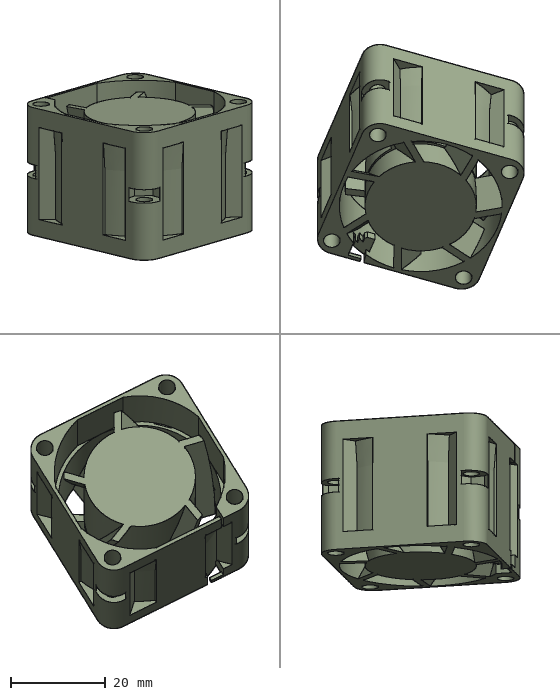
import cadquery as cq
import math

SIDE = 36.0
HALF = SIDE / 2
HEIGHT = 28.0
CORNER_RADIUS = 4.0
SCREW_OFFSET = 14.75
SCREW_DIAMETER = 3.5
OVERCUT = 0.35

BORE_RADIUS = 34.4 / 2
INLET_RADIUS = 18.07
INLET_FLOOR = 15.65
DUCT_OUTER_RADIUS = 18.45
FLARE_HEIGHT = 10.0
FLARE_START = HEIGHT - FLARE_HEIGHT
DUCT_TOP_RADIUS = 19.15

POCKET_NEAR = 5.95
POCKET_FAR = 12.4
POCKET_FLOOR = 3.78
POCKET_TOP = 23.95

NOTCH_BOTTOM = 12.53
NOTCH_TOP = 15.48
NOTCH_EDGE = 13.4
NOTCH_INNER = 13.95
NOTCH_WALL_ANGLE = 7.3
NOTCH_FLARE = 0.97
DEEP_NOTCH_FLARE = 1.87

EXIT_SIDE = -10.22
EXIT_REACH = -12.95
SLIT_SIDE = -9.75
CHANNEL_SIDE = -5.4
PORT_SIDE = -6.45
PORT_INNER_SIDE = -6.75
PORT_TAPER_END = -15.85
PORT_SILL = 1.05
PORT_SLIT_SIDE = -7.35
RING_GAP_HEIGHT = 1.85
RING_END_SIDE = -9.6

LUG_TOP_SIDE = -5.85
LUG_BOTTOM_SIDE = -7.95
LUG_TIP = -12.75
LUG_TIP_CHAMFER = 0.45
LIP_RADIUS = 16.25
LIP_SIDE = -9.0

HUB_RADIUS = 11.77
STATOR_HEIGHT = 6.3
VANE_COUNT = 7
VANE_ANGLE = 7.0
VANE_TOP_NEAR = -0.2
VANE_TOP_FAR = 1.4
VANE_SHIFT = 4.18

ROTOR_TOP = HEIGHT - 1.98
ROTOR_BOTTOM = 7.02
ROTOR_TIP_RADIUS = 16.02
BLADE_COUNT = 5
BLADE_ANGLE = 43.4
BLADE_TOP_NEAR = 3.75
BLADE_TOP_FAR = 5.33
BLADE_SHIFT = -8.25


def cylinder(radius, bottom, top):
    return cq.Workplane("XY").workplane(offset=bottom).circle(radius).extrude(top - bottom)


def block(x_range, y_range, z_range):
    size = [end - start for start, end in (x_range, y_range, z_range)]
    corner = (x_range[0], y_range[0], z_range[0])
    return cq.Workplane("XY").box(*size, centered=False).translate(corner)


def prism(points, bottom, top):
    return cq.Workplane("XY").workplane(offset=bottom).polyline(points).close().extrude(top - bottom)


def turned(body, angle):
    return body.rotate((0, 0, 0), (0, 0, 1), angle)


def slanted_vane(near, far, shift, bottom, top, angle, reach):
    """Bar whose parallelogram section moves sideways by `shift` from top to bottom."""
    section = [(near, top), (far, top), (far + shift, bottom), (near + shift, bottom)]
    bar = cq.Workplane("YZ").polyline(section).close().extrude(reach)
    return turned(bar, angle)


def hub_with_vanes(count, first_angle, near, far, shift, bottom, top, tip_radius):
    """Disc carrying slanted vanes that end on a cylinder of `tip_radius`."""
    hub = cylinder(HUB_RADIUS, bottom, top)
    envelope = cylinder(tip_radius, bottom, top)
    for index in range(count):
        angle = first_angle + index * 360 / count
        vane = slanted_vane(near, far, shift, bottom, top, angle, SIDE)
        hub = hub.union(vane.intersect(envelope))
    return hub


def duct_outside():
    lower = cylinder(DUCT_OUTER_RADIUS, 0, FLARE_START)
    flare = cq.Solid.makeCone(DUCT_OUTER_RADIUS, DUCT_TOP_RADIUS, FLARE_HEIGHT, cq.Vector(0, 0, FLARE_START))
    return lower.union(cq.Workplane(flare))


def bore():
    lower = cylinder(BORE_RADIUS, -OVERCUT, INLET_FLOOR)
    inlet = cylinder(INLET_RADIUS, INLET_FLOOR, HEIGHT + OVERCUT)
    flats = (-BORE_RADIUS, BORE_RADIUS)
    return lower.union(inlet.intersect(block(flats, flats, (INLET_FLOOR, HEIGHT + OVERCUT))))


def side_pockets():
    """Eight wedge pockets, two per side, with a 45 degree wall towards the corner."""
    outer = HALF + OVERCUT
    depth = POCKET_FAR - POCKET_NEAR
    outline = [
        (POCKET_NEAR, HALF - depth),
        (POCKET_FAR, HALF),
        (POCKET_FAR, outer),
        (POCKET_NEAR, outer),
    ]
    wedge = prism(outline, POCKET_FLOOR, POCKET_TOP)
    pair = wedge.union(wedge.mirror("YZ"))
    pockets = pair
    for angle in (90, 180, 270):
        pockets = pockets.union(turned(pair, angle))
    return pockets


def corner_notch(flare):
    """Undercut slot around the screw in the +X +Y corner, symmetric about the diagonal."""
    throat = HALF - flare
    throat_wall = NOTCH_EDGE - flare
    wall_rise = (throat - NOTCH_INNER) * math.tan(math.radians(NOTCH_WALL_ANGLE))
    half_outline = [
        (HALF + OVERCUT, NOTCH_EDGE),
        (HALF, NOTCH_EDGE),
        (throat, throat_wall),
        (NOTCH_INNER, throat_wall - wall_rise),
    ]
    mirrored_half = [(y, x) for x, y in reversed(half_outline)]
    corner = (HALF + OVERCUT, HALF + OVERCUT)
    return prism(half_outline + mirrored_half + [corner], NOTCH_BOTTOM, NOTCH_TOP)


def upper_wire_exit():
    channel = block((-BORE_RADIUS, EXIT_REACH), (EXIT_SIDE, CHANNEL_SIDE), (POCKET_TOP, HEIGHT + OVERCUT))
    slit = block((-HALF - OVERCUT, -BORE_RADIUS), (EXIT_SIDE, SLIT_SIDE), (POCKET_TOP, HEIGHT + OVERCUT))
    return channel.union(slit)


def lower_passage(top):
    """Passage from the skin into the bore, with one side tapering inward."""
    outline = [
        (-HALF - OVERCUT, EXIT_SIDE),
        (EXIT_REACH, EXIT_SIDE),
        (EXIT_REACH, PORT_INNER_SIDE),
        (PORT_TAPER_END, PORT_INNER_SIDE),
        (-HALF, PORT_SIDE),
        (-HALF - OVERCUT, PORT_SIDE),
    ]
    return prism(outline, -OVERCUT, top)


def lower_wire_exit():
    """Lower passage that leaves a low sill standing in the skin."""
    sill = block((-HALF, -BORE_RADIUS), (EXIT_SIDE, PORT_SLIT_SIDE), (0, PORT_SILL))
    return lower_passage(POCKET_FLOOR).cut(sill)


def duct(body):
    """Duct wall within the outline of `body`, with a stepped gap at the lower wire exit."""
    low_gap = lower_passage(RING_GAP_HEIGHT)
    high_gap = block((-HALF - OVERCUT, EXIT_REACH), (EXIT_SIDE, RING_END_SIDE), (-OVERCUT, POCKET_FLOOR))
    return duct_outside().intersect(body).cut(low_gap).cut(high_gap)


def wire_lug():
    outline = [
        (-BORE_RADIUS, LUG_TOP_SIDE),
        (LUG_TIP, LUG_TOP_SIDE),
        (LUG_TIP, LUG_BOTTOM_SIDE + LUG_TIP_CHAMFER),
        (LUG_TIP - LUG_TIP_CHAMFER, LUG_BOTTOM_SIDE),
        (-BORE_RADIUS, LUG_BOTTOM_SIDE),
    ]
    tab = prism(outline, RING_GAP_HEIGHT, POCKET_FLOOR)
    lip = block((-BORE_RADIUS, EXIT_REACH), (LIP_SIDE, LUG_BOTTOM_SIDE), (RING_GAP_HEIGHT, POCKET_FLOOR))
    lip = lip.cut(cylinder(LIP_RADIUS, RING_GAP_HEIGHT, POCKET_FLOOR))
    middle_radius = (BORE_RADIUS + DUCT_OUTER_RADIUS) / 2
    return tab.union(lip).intersect(cylinder(middle_radius, RING_GAP_HEIGHT, POCKET_FLOOR))


def make_housing():
    frame = cq.Workplane("XY").rect(SIDE, SIDE).extrude(HEIGHT).edges("|Z").fillet(CORNER_RADIUS)
    ring = duct(frame)
    frame = frame.cut(side_pockets()).cut(lower_wire_exit()).union(ring)
    for angle, flare in ((0, NOTCH_FLARE), (90, NOTCH_FLARE), (180, NOTCH_FLARE), (270, DEEP_NOTCH_FLARE)):
        frame = frame.cut(turned(corner_notch(flare), angle))
    screw_grid = cq.Workplane("XY").rect(2 * SCREW_OFFSET, 2 * SCREW_OFFSET, forConstruction=True)
    frame = frame.cut(screw_grid.vertices().circle(SCREW_DIAMETER / 2).extrude(HEIGHT))
    frame = frame.cut(bore()).cut(upper_wire_exit())
    stator = hub_with_vanes(
        VANE_COUNT, VANE_ANGLE, VANE_TOP_NEAR, VANE_TOP_FAR, VANE_SHIFT, 0, STATOR_HEIGHT, BORE_RADIUS
    )
    return frame.union(wire_lug()).union(stator)


def make_rotor():
    return hub_with_vanes(
        BLADE_COUNT, BLADE_ANGLE, BLADE_TOP_NEAR, BLADE_TOP_FAR, BLADE_SHIFT,
        ROTOR_BOTTOM, ROTOR_TOP, ROTOR_TIP_RADIUS,
    )


housing = make_housing()
rotor = make_rotor()
result = cq.Compound.makeCompound([housing.val(), rotor.val()])